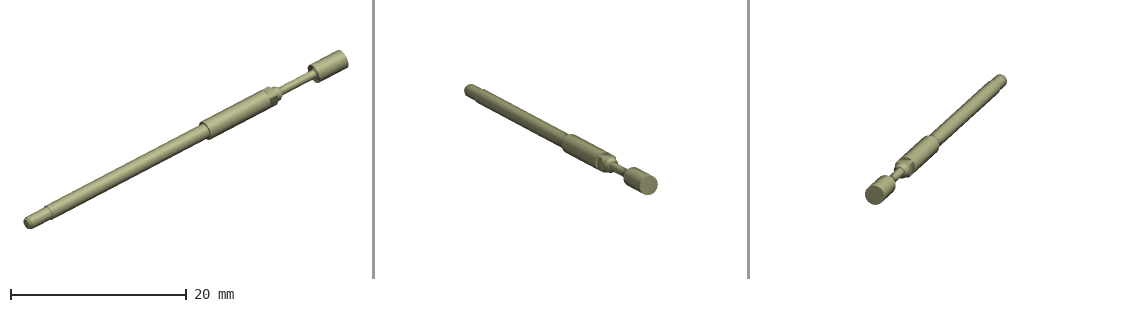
import cadquery as cq

total_length = 45.1
tail_chamfer_length = 0.35
tail_length = 3.1
sleeve_start = 25.5
sleeve_length = 8.5
square_length = 1.3
collar_length = 0.4
cone_length = 0.4
head_length = 4.1

tail_diameter = 1.55
tail_tip_diameter = 1.2
body_diameter = 1.75
sleeve_diameter = 2.3
collar_diameter = 1.75
cone_tip_diameter = 1.2
plunger_diameter = 1.0
head_diameter = 2.3

square_across_flats = 1.75
square_corner_diameter = sleeve_diameter
corner_bevel_depth = (square_corner_diameter - collar_diameter) / 2
corner_bevel_length = 0.2

groove_root_diameter = (head_diameter + plunger_diameter) / 2
groove_depth = (head_diameter - plunger_diameter) / 4

sleeve_end = sleeve_start + sleeve_length
square_end = sleeve_end + square_length
collar_end = square_end + collar_length
cone_end = collar_end + cone_length
head_start = total_length - head_length


def cylinder(start, end, diameter):
    """Round bar along +Y between two stations."""
    bar = cq.Workplane("XY").circle(diameter / 2).extrude(end - start)
    return bar.rotate((0, 0, 0), (1, 0, 0), -90).translate((0, start, 0))


def turned(profile):
    """Solid of revolution about Y from (radius, station) points."""
    return cq.Workplane("XY").polyline(profile).close().revolve(360, (0, 0), (0, 1))


def make_tail_and_body():
    """Main tube with the narrower tail, chamfered at its tip."""
    profile = [
        (0, 0),
        (tail_tip_diameter / 2, 0),
        (tail_diameter / 2, tail_chamfer_length),
        (tail_diameter / 2, tail_length),
        (body_diameter / 2, tail_length),
        (body_diameter / 2, sleeve_end),
        (0, sleeve_end),
    ]
    return turned(profile)


def make_square_section():
    """Square with rounded corners, bevelled at the collar end."""
    length = square_end - sleeve_end
    profile = [
        (0, sleeve_end),
        (square_corner_diameter / 2, sleeve_end),
        (square_corner_diameter / 2, square_end - corner_bevel_length),
        (square_corner_diameter / 2 - corner_bevel_depth, square_end),
        (0, square_end),
    ]
    round_bar = turned(profile)
    flats = cq.Workplane("XY").box(square_across_flats, length, square_across_flats)
    return round_bar.intersect(flats.translate((0, sleeve_end + length / 2, 0)))


def make_collar():
    """Short round collar tapering towards the plunger."""
    profile = [
        (0, square_end),
        (collar_diameter / 2, square_end),
        (collar_diameter / 2, collar_end),
        (cone_tip_diameter / 2, cone_end),
        (0, cone_end),
    ]
    return turned(profile)


def make_head():
    """Cylindrical head with a V groove around the plunger in its face."""
    profile = [
        (0, head_start),
        (plunger_diameter / 2, head_start),
        (groove_root_diameter / 2, head_start + groove_depth),
        (head_diameter / 2, head_start),
        (head_diameter / 2, total_length),
        (0, total_length),
    ]
    return turned(profile)


sleeve = cylinder(sleeve_start, sleeve_end, sleeve_diameter)
plunger = cylinder(cone_end, total_length, plunger_diameter)

result = (
    make_tail_and_body()
    .union(sleeve)
    .union(make_square_section())
    .union(make_collar())
    .union(plunger)
    .union(make_head())
)